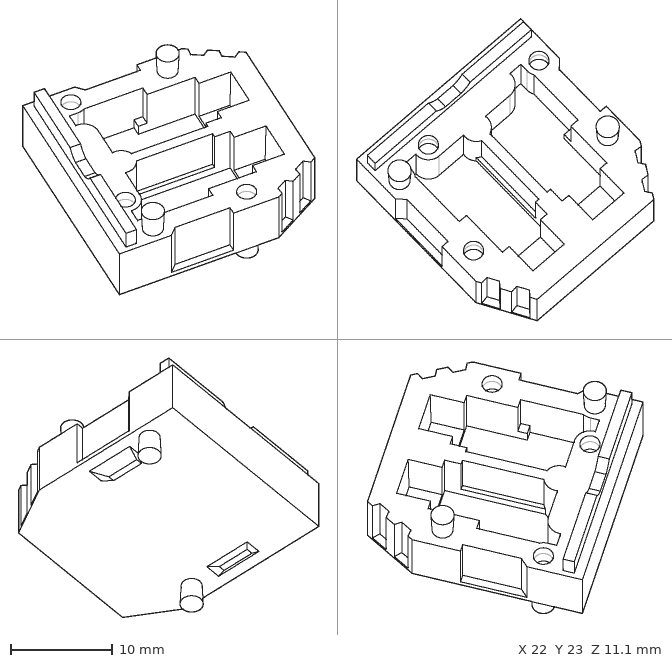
import cadquery as cq
import math


width = 22.0
depth = 23.0
overall_height = 11.05
block_height = 6.0
half_width = width / 2
corner_angle = 60.0
corner_depth = 5.5
rear_half_width = half_width - corner_depth / math.tan(math.radians(corner_angle))

pin_height = (overall_height - block_height) / 2
pin_base_diameter = 2.1
pin_tip_diameter = 2.3
socket_neck_diameter = 1.98
socket_chamber_diameter = 2.18
socket_neck_depth = 1.04
rear_pin_x = 9.0
rear_pin_y = 14.95
front_pin_x = 9.34
front_pin_y = 4.48
spare_socket_x = 4.74
spare_socket_y = 3.68

boss_radius = 1.59
floor_z = 0.6
pocket_inner_x = 1.01
pocket_narrow_x = 7.0
pocket_wide_x = 7.95
pocket_rear_y = 17.0
pocket_wide_y = 11.73
pocket_front_y = 3.56
slot_inner_x = 1.9
slot_outer_x = 6.1
slot_rear_y = 20.5
slot_floor_z = 1.15
slot_rear_draft = 0.1
block_top_z = 1.77
ledge_x = 0.55
ledge_z = 1.52
ledge_rear_y = 15.3
nose_radius = 1.5
nose_y = 5.52

groove_length = 1.93
groove_depth = 0.71
groove_taper = 24.0
groove_floor_z = 0.3
groove_first = 0.71
groove_pitch = 3.1
groove_count = 2

recess_depth = 0.8
recess_floor_z = 0.55
recess_front_y = 5.7
recess_ramp = 0.8
recess_rear_y = 12.54
tab_height = 1.05
tab_inner_x = 7.95
tab_bottom_width = 0.71
tab_front_y = 6.76
tab_bottom_rear_y = 10.42
tab_rear_y = 12.05

rail_half_width = 10.46
rail_front_y = 1.0
rail_thickness = 1.15
rail_height = 2.02
dip_top_half_width = 2.25
dip_bottom_half_width = 1.04
dip_depth = 1.0
dip_radius = 4.2 / 2


def box(x0, x1, y0, y1, z0, z1):
    return cq.Workplane("XY").box(x1 - x0, y1 - y0, z1 - z0, centered=False).translate((x0, y0, z0))


def both_sides(shape):
    """The right-hand shape together with its mirror image."""
    return shape.union(shape.mirror("YZ"))


def cone(x, y, z, start_diameter, end_diameter, length):
    """Cone frustum running from z over a signed length along Z."""
    start = cq.Vector(x, y, z)
    direction = cq.Vector(0, 0, math.copysign(1, length))
    solid = cq.Solid.makeCone(start_diameter / 2, end_diameter / 2, abs(length), start, direction)
    return cq.Workplane(obj=solid)


def block():
    outline = [
        (-half_width, 0),
        (half_width, 0),
        (half_width, depth - corner_depth),
        (rear_half_width, depth),
        (-rear_half_width, depth),
        (-half_width, depth - corner_depth),
    ]
    return cq.Workplane("XY").polyline(outline).close().extrude(block_height)


def pocket():
    """Main pocket, with its front corners rounded around the spare socket and the front pin."""
    diagonal = boss_radius * math.sqrt(0.5)
    socket_top_y = spare_socket_y + boss_radius
    socket_side_x = spare_socket_x + boss_radius
    pin_side_x = front_pin_x - boss_radius
    arc_rise = math.acos((front_pin_x - pocket_wide_x) / boss_radius)
    arc_start = (pocket_wide_x, front_pin_y + boss_radius * math.sin(arc_rise))
    arc_middle = (
        front_pin_x - boss_radius * math.cos(arc_rise / 2),
        front_pin_y + boss_radius * math.sin(arc_rise / 2),
    )
    outline = (
        cq.Workplane("XY", origin=(0, 0, floor_z))
        .moveTo(pocket_inner_x, pocket_rear_y)
        .lineTo(pocket_narrow_x, pocket_rear_y)
        .lineTo(pocket_narrow_x, pocket_wide_y)
        .lineTo(pocket_wide_x, pocket_wide_y)
        .lineTo(*arc_start)
        .threePointArc(arc_middle, (pin_side_x, front_pin_y))
        .lineTo(pin_side_x, pocket_front_y)
        .lineTo(socket_side_x, pocket_front_y)
        .lineTo(socket_side_x, spare_socket_y)
        .threePointArc(
            (spare_socket_x + diagonal, spare_socket_y + diagonal), (spare_socket_x, socket_top_y)
        )
        .lineTo(pocket_inner_x, socket_top_y)
        .close()
    )
    cavity = outline.extrude(block_height - floor_z)
    step = pocket_wide_x - pocket_narrow_x
    corner_block = box(
        pocket_narrow_x, pocket_wide_x, pocket_wide_y - step, pocket_wide_y, floor_z, block_top_z
    )
    return cavity.cut(corner_block)


def rear_slot():
    """Raised slot behind the pocket; its rear wall leans in slightly towards the floor."""
    profile = [
        (pocket_rear_y, slot_floor_z),
        (slot_rear_y - slot_rear_draft, slot_floor_z),
        (slot_rear_y, block_height),
        (pocket_rear_y, block_height),
    ]
    slot = cq.Workplane("YZ", origin=(slot_inner_x, 0, 0)).polyline(profile).close()
    return slot.extrude(slot_outer_x - slot_inner_x)


def ledge_cut():
    """Shallow widening of the pocket that leaves a ledge along the middle wall."""
    return box(ledge_x, pocket_inner_x, nose_y, ledge_rear_y, ledge_z, block_height)


def nose():
    """Rounded front end of the wall between the pockets."""
    return cq.Workplane("XY").center(0, nose_y).circle(nose_radius).extrude(block_height)


def finger_groove(index):
    """Groove with tapered ends and floor, open at the top, in the right-hand cut corner."""
    slope = math.radians(corner_angle)
    along = groove_first + index * groove_pitch + groove_length / 2
    height = 2 * (block_height - groove_floor_z)
    face = cq.Plane(
        origin=(
            rear_half_width + along * math.cos(slope),
            depth - along * math.sin(slope),
            groove_floor_z + height / 2,
        ),
        xDir=(math.cos(slope), -math.sin(slope), 0),
        normal=(-math.sin(slope), -math.cos(slope), 0),
    )
    return cq.Workplane(face).rect(groove_length, height).extrude(groove_depth, taper=groove_taper)


def side_recess():
    inner_x = half_width - recess_depth
    outline = [
        (half_width, recess_front_y),
        (half_width, recess_rear_y),
        (inner_x, recess_rear_y),
        (inner_x, recess_front_y + recess_ramp),
    ]
    recess = cq.Workplane("XY", origin=(0, 0, recess_floor_z)).polyline(outline).close()
    return recess.extrude(block_height - recess_floor_z)


def clip_tab():
    """Tab under the block with a 45 degree outer side and a sloping rear end."""
    bottom_x = tab_inner_x + tab_bottom_width
    section = [
        (tab_inner_x, 0),
        (tab_inner_x, -tab_height),
        (bottom_x, -tab_height),
        (bottom_x + tab_height, 0),
    ]
    side = [
        (tab_front_y, 0),
        (tab_front_y, -tab_height),
        (tab_bottom_rear_y, -tab_height),
        (tab_rear_y, 0),
    ]
    across = cq.Workplane("XZ").polyline(section).close().extrude(-depth)
    lengthwise = cq.Workplane("YZ").polyline(side).close().extrude(half_width)
    return across.intersect(lengthwise)


def rail():
    top_z = block_height + rail_height
    dip_z = top_z - dip_depth
    outline = (
        cq.Workplane("XZ", origin=(0, rail_front_y, 0))
        .moveTo(-rail_half_width, block_height)
        .lineTo(-rail_half_width, top_z)
        .lineTo(-dip_top_half_width, top_z)
        .radiusArc((-dip_bottom_half_width, dip_z), -dip_radius)
        .lineTo(dip_bottom_half_width, dip_z)
        .radiusArc((dip_top_half_width, top_z), -dip_radius)
        .lineTo(rail_half_width, top_z)
        .lineTo(rail_half_width, block_height)
        .close()
    )
    return outline.extrude(-rail_thickness)


def pin(x, y, z, length):
    """Snap pin that is thicker at its tip."""
    return cone(x, y, z, pin_base_diameter, pin_tip_diameter, length)


def socket(x, y):
    """Blind socket, as deep as a pin is tall, with a straight neck that widens below it."""
    neck_z = block_height - socket_neck_depth
    neck = cq.Workplane("XY", origin=(x, y, neck_z)).circle(socket_neck_diameter / 2)
    chamber_length = pin_height - socket_neck_depth
    chamber = cone(x, y, neck_z, socket_neck_diameter, socket_chamber_diameter, -chamber_length)
    return neck.extrude(socket_neck_depth).union(chamber)


body = block()
for cavity in (pocket(), rear_slot(), ledge_cut(), side_recess()):
    body = body.cut(both_sides(cavity))
for index in range(groove_count):
    body = body.cut(both_sides(finger_groove(index)))
body = body.union(nose())

top_pins = [(-rear_pin_x, rear_pin_y), (front_pin_x, front_pin_y)]
for x, y in top_pins:
    body = body.union(pin(x, y, block_height, pin_height))
    body = body.union(pin(-x, y, 0, -pin_height))
    body = body.cut(socket(-x, y))
body = body.cut(socket(spare_socket_x, spare_socket_y))

result = body.union(both_sides(clip_tab())).union(rail())